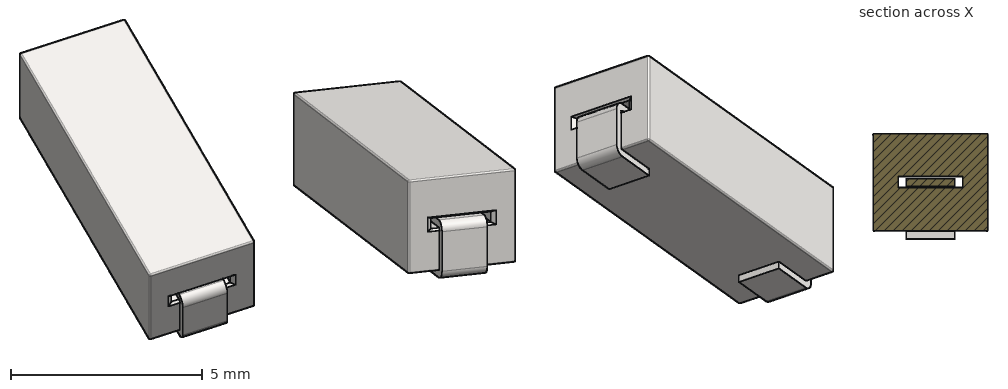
import cadquery as cq

overall_length = 8.9
body_width = 3.0
overall_height = 2.75

strap_thickness = 0.205
body_length = overall_length - 2 * strap_thickness
body_height = overall_height - strap_thickness
edge_radius = 0.045

slot_width = 1.67
slot_height = 0.285
slot_center_z = 1.49
mouth_width = 1.905
mouth_height = 0.39
mouth_depth = 0.08

strap_width = 1.26
strap_top = 1.575
bend_radius = 0.25
inner_bend_radius = bend_radius - strap_thickness
foot_length = 1.48


def block(length, width, bottom, height):
    return (
        cq.Workplane("XY")
        .workplane(offset=bottom)
        .box(length, width, height, centered=(True, True, False))
    )


def make_body():
    return block(body_length, body_width, strap_thickness, body_height).edges().fillet(edge_radius)


def make_slot():
    return cq.Workplane("XY").box(body_length, slot_width, slot_height).translate((0, 0, slot_center_z))


def make_mouth(side):
    """Tapered opening at the end face on the given side (-1 or 1)."""
    return (
        cq.Workplane("YZ", origin=(side * body_length / 2, 0, slot_center_z))
        .rect(mouth_width, mouth_height)
        .workplane(offset=-side * mouth_depth)
        .rect(slot_width, slot_height)
        .loft(ruled=True)
    )


def make_strap():
    outer = block(overall_length, strap_width, 0, strap_top).edges("|Y").fillet(bend_radius)
    inner = block(
        overall_length - 2 * strap_thickness,
        strap_width,
        strap_thickness,
        strap_top - 2 * strap_thickness,
    ).edges("|Y").fillet(inner_bend_radius)
    foot_gap = block(overall_length - 2 * foot_length, strap_width, 0, strap_thickness)
    return outer.cut(inner).cut(foot_gap)


body = make_body().cut(make_slot())
for end in (-1, 1):
    body = body.cut(make_mouth(end))

result = body.union(make_strap())